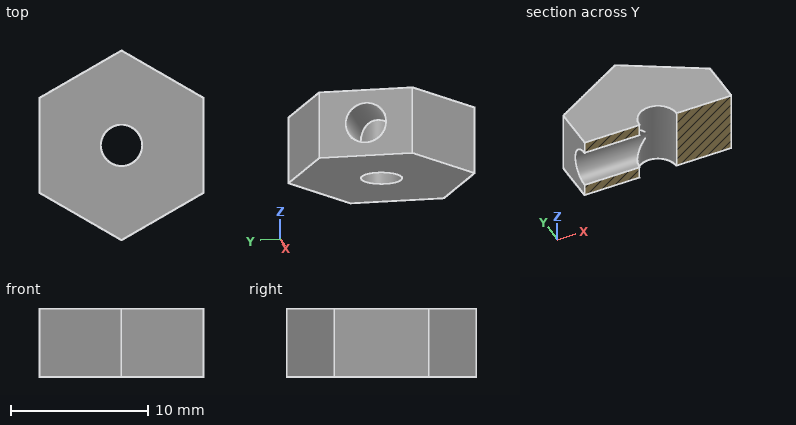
import cadquery as cq
import math

across_flats = 12.0
thickness = 5.0
bore_diameter = 3.0
side_hole_diameter = 3.0

across_corners = across_flats / math.cos(math.pi / 6)
corner_angle = 90


def hexagonal_body():
    """Hexagonal prism standing on Z = 0, with corners on the Y axis."""
    prism = cq.Workplane("XY").polygon(6, across_corners).extrude(thickness)
    return prism.rotate((0, 0, 0), (0, 0, 1), corner_angle)


def center_bore():
    """Vertical bore through the full thickness."""
    return cq.Workplane("XY").circle(bore_diameter / 2).extrude(thickness)


def side_hole():
    """Radial hole at mid-thickness, from the -X flat to the axis of the bore."""
    flat_distance = across_flats / 2
    return (
        cq.Workplane("YZ", origin=(-flat_distance, 0, thickness / 2))
        .circle(side_hole_diameter / 2)
        .extrude(flat_distance)
    )


result = hexagonal_body().cut(center_bore()).cut(side_hole())